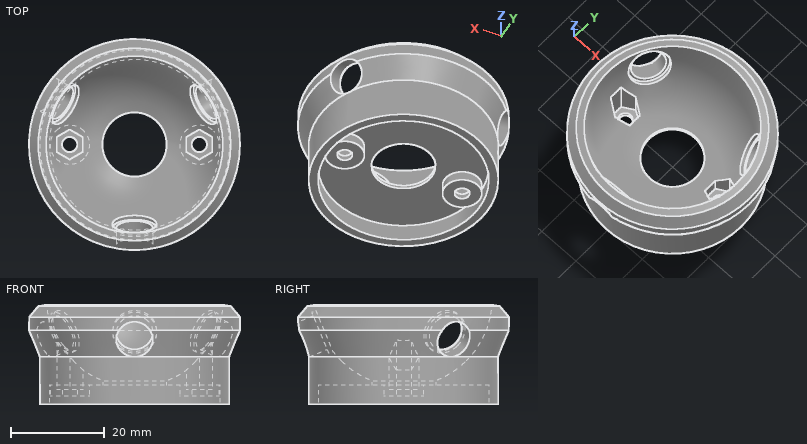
import cadquery as cq

base_radius = 20.2
base_height = 10.15
rim_radius = 22.5
rim_bottom = 15.75
rim_top = 18.6
shoulder_radius = 20.5
shoulder_height = 20.92
total_height = 21.2

bowl_radius = 18.9
bowl_center_height = 22.7
floor_opening_diameter = 13.65

recess_wall = 2.02
recess_depth = 4.2

side_hole_diameter = 7.8
seat_diameter = 9.4
seat_distance = 19.25
side_hole_tilt = 22.5
side_hole_angles = (30, 150, 270)

screw_offset = 13.8
screw_positions = (-screw_offset, screw_offset)
screw_diameter = 3.2
nut_flats = 5.55
nut_floor_height = 3.15
boss_diameter = 8.35
boss_bottom_height = 1.8


def upright_cylinder(diameter, x=0):
    """Cylinder along Z, through the full height of the part."""
    return cq.Workplane("XY").center(x, 0).circle(diameter / 2).extrude(total_height)


def shell():
    """Solid of revolution: base, flared rim and gently sloping top."""
    bowl_mouth_radius = (bowl_radius**2 - (bowl_center_height - total_height) ** 2) ** 0.5
    profile = [
        (0, 0),
        (base_radius, 0),
        (base_radius, base_height),
        (rim_radius, rim_bottom),
        (rim_radius, rim_top),
        (shoulder_radius, shoulder_height),
        (bowl_mouth_radius, total_height),
        (0, total_height),
    ]
    return cq.Workplane("XZ").polyline(profile).close().revolve(360, (0, 0), (0, 1))


def bowl():
    return cq.Workplane("XY").sphere(bowl_radius).translate((0, 0, bowl_center_height))


def underside_recess():
    """Round recess that leaves a boss standing around each screw hole."""
    recess = cq.Workplane("XY").circle(base_radius - recess_wall).extrude(recess_depth)
    for x in screw_positions:
        boss = upright_cylinder(boss_diameter, x).translate((0, 0, boss_bottom_height))
        recess = recess.cut(boss)
    return recess


def side_hole(angle):
    """Stepped hole pointing outward and down from the bowl center."""
    hole = cq.Workplane("YZ").circle(side_hole_diameter / 2).extrude(2 * rim_radius)
    seat = cq.Workplane("YZ").circle(seat_diameter / 2).extrude(seat_distance)
    return (
        hole.union(seat)
        .rotate((0, 0, 0), (0, 1, 0), side_hole_tilt)
        .rotate((0, 0, 0), (0, 0, 1), angle)
        .translate((0, 0, bowl_center_height))
    )


def nut_pocket(x):
    """Hexagonal pocket with two corners pointing along Y."""
    nut_corners = nut_flats / 0.75**0.5
    return (
        cq.Workplane("XY", origin=(x, 0, nut_floor_height))
        .transformed(rotate=(0, 0, 90))
        .polygon(6, nut_corners)
        .extrude(total_height - nut_floor_height)
    )


result = shell().cut(bowl()).cut(underside_recess()).cut(upright_cylinder(floor_opening_diameter))
for hole_angle in side_hole_angles:
    result = result.cut(side_hole(hole_angle))
for screw_x in screw_positions:
    result = result.cut(upright_cylinder(screw_diameter, screw_x)).cut(nut_pocket(screw_x))